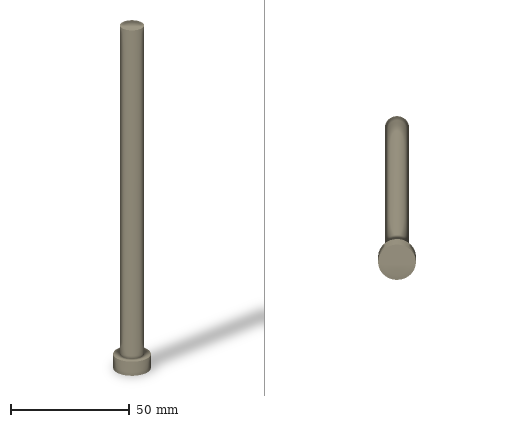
import cadquery as cq

total_length = 160.0
head_diameter = 16.0
head_height = 6.5
shank_diameter = 10.2

head = cq.Workplane("XY").circle(head_diameter / 2).extrude(head_height)
shank = cq.Workplane("XY").circle(shank_diameter / 2).extrude(total_length)

result = head.union(shank)